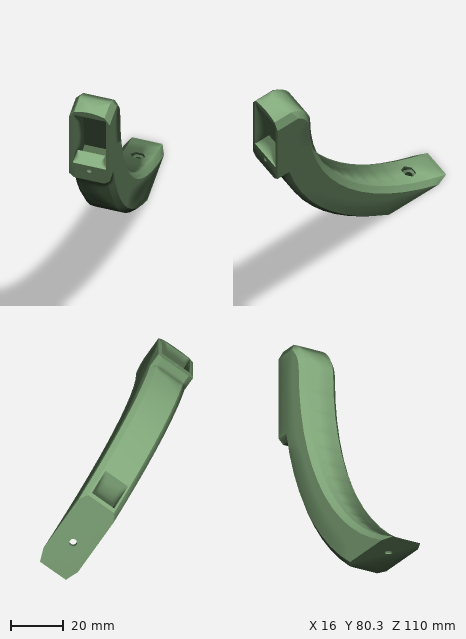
import cadquery as cq
import math

WIDTH = 16.0
HEIGHT = 110.0
EDGE_CHAMFER = 2.0

ARC_CENTRE_Z = 95.0
TIP_Y = 80.25
INNER_TOP_Y = 16.65
OUTER_CENTRE_Y = 120.0
OUTER_RADIUS = 118.75

HEAD_ROUND_RADIUS = HEIGHT - ARC_CENTRE_Z
HEAD_BOTTOM_Z = 70.0

CROWN_HALF_WIDTH = WIDTH / 2 - EDGE_CHAMFER
CROWN_RISE = 1.25
SHOULDER_ANGLE = 60.0

COMPARTMENT_WIDTH = 13.0
COMPARTMENT_TOP_Z = 107.0
SHELF_Z = 78.5
SHELF_DEPTH = 6.5
COMPARTMENT_FLOOR_Z = 70.0
CEILING_DEPTH = 13.2
CEILING_SLOPE = 15.6
BACK_WALL_TILT = 5.5

SCREW_DIAMETER = 1.9
SCREW_Z = 75.6

FOOT_POCKET_WIDTH = 10.4
FOOT_POCKET_BOTTOM_Z = 1.0
FOOT_POCKET_TOP_Z = 8.5
FOOT_POCKET_END_Y = 54.0

BOLT_DIAMETER = 2.9
BOLT_Y = 67.0
NUT_ACROSS_FLATS = 5.0
NUT_SEAT_Z = 4.0

INNER_RUN = TIP_Y - INNER_TOP_Y
INNER_RADIUS = (INNER_RUN**2 + ARC_CENTRE_Z**2) / (2 * INNER_RUN)
INNER_CENTRE_Y = INNER_TOP_Y + INNER_RADIUS


def arc_point(centre_y, radius, z):
    """Point (Y, Z) at height z on an arm arc."""
    return (centre_y - math.sqrt(radius**2 - (z - ARC_CENTRE_Z) ** 2), z)


def inner_point(z):
    """Point (Y, Z) at height z on the inner arc."""
    return arc_point(INNER_CENTRE_Y, INNER_RADIUS, z)


def outer_point(z):
    """Point (Y, Z) at height z on the outer arc."""
    return arc_point(OUTER_CENTRE_Y, OUTER_RADIUS, z)


def prism(profile, width):
    """Extrude a closed YZ profile to the given width, centred on X = 0."""
    return profile.extrude(width / 2, both=True)


def arm_body():
    """Arm and head, chamfered along the sides except at the front face, the foot and the flat top."""
    inner_top = (INNER_TOP_Y, ARC_CENTRE_Z)
    round_centre_y = INNER_TOP_Y - HEAD_ROUND_RADIUS
    round_reach = HEAD_ROUND_RADIUS * math.sqrt(0.5)
    outline = (
        cq.Workplane("YZ")
        .moveTo(0, HEAD_BOTTOM_Z)
        .lineTo(*outer_point(HEAD_BOTTOM_Z))
        .threePointArc(outer_point(HEAD_BOTTOM_Z / 2), outer_point(0))
        .lineTo(*inner_point(0))
        .threePointArc(inner_point(ARC_CENTRE_Z / 2), inner_top)
        .threePointArc(
            (round_centre_y + round_reach, ARC_CENTRE_Z + round_reach),
            (round_centre_y, HEIGHT),
        )
        .lineTo(0, HEIGHT)
        .close()
    )
    side_edges = prism(outline, WIDTH).faces("<X or >X").edges("not(<Y or <Z or >Z)")
    return side_edges.chamfer(EDGE_CHAMFER)


def crown_envelope():
    """Prism along Y whose front section is crowned on top, with sloping shoulders."""
    half_width = WIDTH / 2
    crown_edge_z = HEIGHT - CROWN_RISE
    shoulder_z = crown_edge_z - EDGE_CHAMFER * math.tan(math.radians(SHOULDER_ANGLE))
    section = (
        cq.Workplane("XZ")
        .moveTo(-half_width, 0)
        .lineTo(-half_width, shoulder_z)
        .lineTo(-CROWN_HALF_WIDTH, crown_edge_z)
        .threePointArc((0, HEIGHT), (CROWN_HALF_WIDTH, crown_edge_z))
        .lineTo(half_width, shoulder_z)
        .lineTo(half_width, 0)
        .close()
    )
    return section.extrude(-TIP_Y)


def head_compartment():
    """Cavity with a sloping ceiling and back wall; it drops deeper behind a shelf."""
    ceiling_end_z = COMPARTMENT_TOP_Z - CEILING_DEPTH * math.tan(math.radians(CEILING_SLOPE))
    wall_drop = ceiling_end_z - COMPARTMENT_FLOOR_Z
    wall_end_y = CEILING_DEPTH + wall_drop * math.tan(math.radians(BACK_WALL_TILT))
    profile = cq.Workplane("YZ").polyline(
        [
            (0, SHELF_Z),
            (0, COMPARTMENT_TOP_Z),
            (CEILING_DEPTH, ceiling_end_z),
            (wall_end_y, COMPARTMENT_FLOOR_Z),
            (SHELF_DEPTH, COMPARTMENT_FLOOR_Z),
            (SHELF_DEPTH, SHELF_Z),
        ]
    ).close()
    return prism(profile, COMPARTMENT_WIDTH)


def screw_hole():
    """Hole from the front face into the lower part of the compartment."""
    hole = cq.Workplane("XZ").center(0, SCREW_Z).circle(SCREW_DIAMETER / 2)
    return hole.extrude(-(SHELF_DEPTH + SCREW_DIAMETER))


def foot_pocket():
    """Rectangular pocket cut along Y into the outer side of the foot."""
    pocket_height = FOOT_POCKET_TOP_Z - FOOT_POCKET_BOTTOM_Z
    return cq.Workplane("XY").box(
        FOOT_POCKET_WIDTH, FOOT_POCKET_END_Y, pocket_height, centered=(True, False, False)
    ).translate((0, 0, FOOT_POCKET_BOTTOM_Z))


def bolt_hole():
    """Vertical bolt hole with a nut recess open at the top."""
    nut_across_corners = NUT_ACROSS_FLATS / math.cos(math.radians(30))
    bolt = cq.Workplane("XY").center(0, BOLT_Y).circle(BOLT_DIAMETER / 2).extrude(HEIGHT)
    nut = (
        cq.Workplane("XY", origin=(0, BOLT_Y, NUT_SEAT_Z))
        .polygon(6, nut_across_corners)
        .extrude(HEIGHT - NUT_SEAT_Z)
    )
    return bolt.union(nut)


result = (
    arm_body()
    .intersect(crown_envelope())
    .cut(head_compartment())
    .cut(screw_hole())
    .cut(foot_pocket())
    .cut(bolt_hole())
)